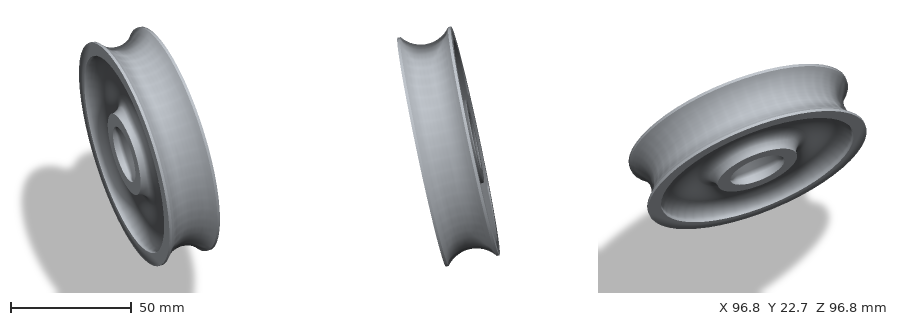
import cadquery as cq
import math

outer_radius = 48.4
width = 22.7
bore_radius = 12.0

rim_inner_radius = 42.7
lip_width = 1.2
groove_bottom_radius = 43.4

hub_radius = 17.6
recess_depth = 6.3

half_width = width / 2
web_half_width = half_width - recess_depth
groove_edge = half_width - lip_width
diagonal = math.sqrt(0.5)
fillet_mid_offset = recess_depth * (1 - diagonal)


def face_recess(side):
    """Ring-shaped recess on one face, side = 1 for +Y or -1 for -Y."""
    profile = (
        cq.Workplane("XY")
        .moveTo(hub_radius, side * half_width)
        .threePointArc(
            (hub_radius + fillet_mid_offset, side * (web_half_width + fillet_mid_offset)),
            (hub_radius + recess_depth, side * web_half_width),
        )
        .lineTo(rim_inner_radius - recess_depth, side * web_half_width)
        .threePointArc(
            (rim_inner_radius - fillet_mid_offset, side * (web_half_width + fillet_mid_offset)),
            (rim_inner_radius, side * half_width),
        )
        .close()
    )
    return profile.revolve(360, (0, 0, 0), (0, 1, 0))


result = (
    cq.Workplane("XY")
    .moveTo(bore_radius, -half_width)
    .lineTo(outer_radius, -half_width)
    .lineTo(outer_radius, -groove_edge)
    .threePointArc((groove_bottom_radius, 0), (outer_radius, groove_edge))
    .lineTo(outer_radius, half_width)
    .lineTo(bore_radius, half_width)
    .close()
    .revolve(360, (0, 0, 0), (0, 1, 0))
)

for face_side in (-1, 1):
    result = result.cut(face_recess(face_side))